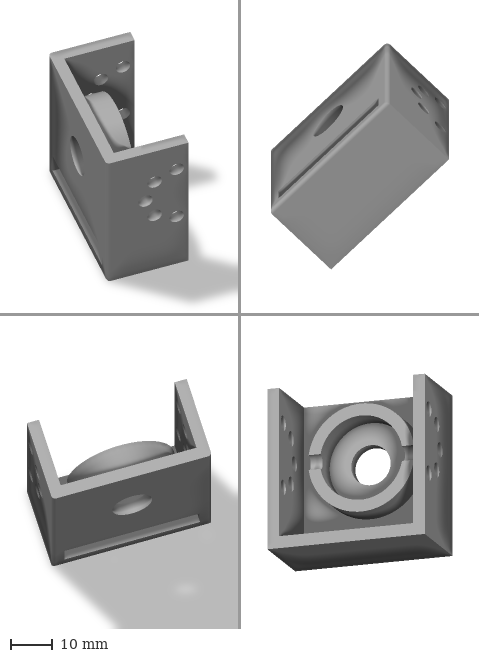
import cadquery as cq
import math

width = 40.0
depth = 21.0
height = 40.0
wall = 3.0
edge_radius = 1.0

socket_z = 24.0
socket_diameter = 27.0
socket_bore = 21.0
socket_length = 7.0
front_hole_diameter = 10.0

slot_height = 5.0

side_hole_diameter = 3.7
side_hole_circle_radius = 8.0
side_hole_count = 5
side_hole_circle_y = depth - wall


def box(x_size, y_size, z_size):
    """Box centred on X, starting at Y = 0 and Z = 0."""
    return cq.Workplane("XY").box(x_size, y_size, z_size, centered=(True, False, False))


def cylinder_along_y(diameter, y_start, length):
    """Cylinder on the socket axis, running toward +Y."""
    plane = cq.Workplane("XZ", origin=(0, y_start, socket_z))
    return plane.circle(diameter / 2).extrude(-length)


def housing():
    """Block with rounded front side and bottom edges, hollowed from the top and back."""
    block = box(width, depth, height)
    block = block.faces("<Y").edges("|Z or <Z").fillet(edge_radius)
    cavity = box(width - 2 * wall, depth - wall, height - wall)
    return block.cut(cavity.translate((0, wall, wall)))


def side_holes():
    """Cylinders along X on the half circle that faces the front plate."""
    step = math.pi / (side_hole_count - 1)
    angles = [math.pi / 2 + i * step for i in range(side_hole_count)]
    centers = [
        (
            side_hole_circle_y + side_hole_circle_radius * math.cos(angle),
            socket_z + side_hole_circle_radius * math.sin(angle),
        )
        for angle in angles
    ]
    plane = cq.Workplane("YZ").pushPoints(centers)
    return plane.circle(side_hole_diameter / 2).extrude(width / 2, both=True)


slot = box(width - 2 * wall, wall, slot_height).translate((0, 0, wall))

result = (
    housing()
    .cut(slot)
    .union(cylinder_along_y(socket_diameter, wall, socket_length))
    .cut(cylinder_along_y(socket_bore, wall, socket_length))
    .cut(cylinder_along_y(front_hole_diameter, 0, wall))
    .cut(side_holes())
)